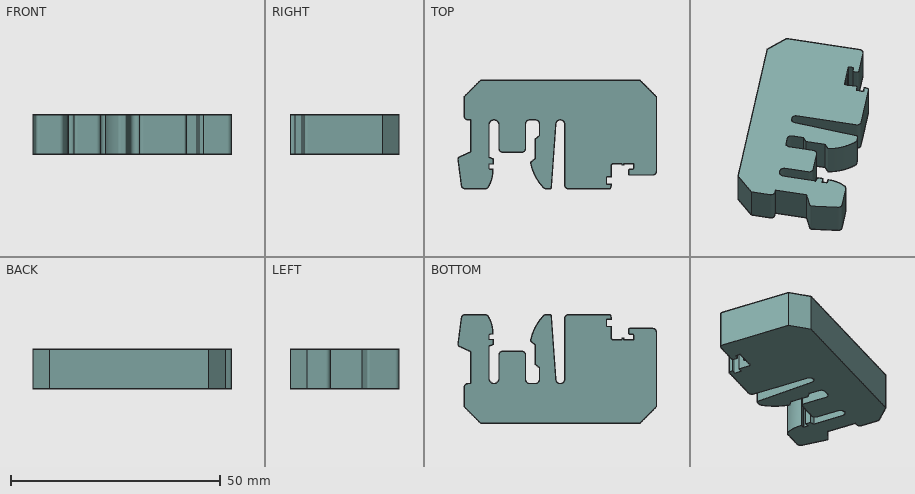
import cadquery as cq

length = 47.45
height = 26.0
thickness = 9.5
body_left = 1.45
top_chamfer = 4.0

slot_top = 16.45
right_foot_bottom = 3.27

leg_left = 3.05
leg_right = 7.45
shoulder_y = 8.88
heel = (-0.06, 7.45)
toe = (0.9, 0.0)
foot_curve_bottom = (7.0, 0.0)
foot_curve_middle = (7.95, 1.95)
foot_curve_top = (8.35, 4.7)
catch_bottom = 5.95
catch_tip_x = 8.5
catch_tip_top = 7.15
catch_root_top = 7.55
catch_slope_x = 7.7
catch_slope_y = 4.85

tongue_left = 9.8
tongue_right = 16.2
tongue_bottom = 8.75

arm_left = 19.45
arm_step_top = 12.7
arm_step_bottom = 11.9
arm_inner_x = 18.45
nose_root_y = 7.25
nose_tip = (17.3, 6.3)
nose_curve_middle = (18.6, 2.75)
nose_curve_bottom = (20.7, 0.0)
arm_toe = (22.3, 0.0)
arm_root = (23.5, slot_top)

block_left = 25.5
block_right = 36.65
block_toe_x = 36.45
block_toe_y = 0.7
notch_depth = 1.15
notch_bottom = 1.15
notch_top = 2.85
recess_top = 6.0
recess_right = 41.95
rib_left = 39.2
rib_right = 39.7
rib_bottom = 5.65
lip_left = 40.75
lip_top = 4.75

slot_flat = 0.01
slot_radius = (tongue_left - leg_right - slot_flat) / 2
corner_radius = 0.95
taper_slot_radius = 1.0
heel_radius = 0.7
edge_radius = 0.4
small_radius = 0.2

notch_left = block_right - notch_depth


def make_plate():
    """Extrude the sharp-cornered outline, running counterclockwise from the shoulder."""
    outline = (
        cq.Workplane("XY")
        .moveTo(leg_left, shoulder_y)
        .lineTo(*heel)
        .lineTo(*toe)
        .lineTo(*foot_curve_bottom)
        .threePointArc(foot_curve_middle, foot_curve_top)
        .lineTo(catch_slope_x, foot_curve_top[1])
        .lineTo(leg_right, catch_slope_y)
        .lineTo(leg_right, catch_bottom)
        .lineTo(catch_tip_x, catch_bottom)
        .lineTo(catch_tip_x, catch_tip_top)
        .lineTo(leg_right, catch_root_top)
        .lineTo(leg_right, slot_top)
        .lineTo(tongue_left, slot_top)
        .lineTo(tongue_left, tongue_bottom)
        .lineTo(tongue_right, tongue_bottom)
        .lineTo(tongue_right, slot_top)
        .lineTo(arm_left, slot_top)
        .lineTo(arm_left, arm_step_top)
        .lineTo(arm_inner_x, arm_step_bottom)
        .lineTo(arm_inner_x, nose_root_y)
        .lineTo(*nose_tip)
        .threePointArc(nose_curve_middle, nose_curve_bottom)
        .lineTo(*arm_toe)
        .lineTo(*arm_root)
        .lineTo(block_left, slot_top)
        .lineTo(block_left, 0)
        .lineTo(block_toe_x, 0)
        .lineTo(block_right, block_toe_y)
        .lineTo(block_right, notch_bottom)
        .lineTo(notch_left, notch_bottom)
        .lineTo(notch_left, notch_top)
        .lineTo(block_right, notch_top)
        .lineTo(block_right, recess_top)
        .lineTo(rib_left, recess_top)
        .lineTo(rib_left, rib_bottom)
        .lineTo(rib_right, rib_bottom)
        .lineTo(rib_right, recess_top)
        .lineTo(recess_right, recess_top)
        .lineTo(recess_right, lip_top)
        .lineTo(lip_left, lip_top)
        .lineTo(lip_left, right_foot_bottom)
        .lineTo(length, right_foot_bottom)
        .lineTo(length, height - top_chamfer)
        .lineTo(length - top_chamfer, height)
        .lineTo(body_left + top_chamfer, height)
        .lineTo(body_left, height - top_chamfer)
        .lineTo(body_left, slot_top)
        .lineTo(leg_left, slot_top)
        .close()
    )
    return outline.extrude(thickness)


def round_corners(plate, radius, corners):
    """Fillet the vertical edges standing on the given outline corners."""
    for x, y in corners:
        edge = cq.selectors.NearestToPointSelector((x, y, thickness / 2))
        plate = plate.edges("|Z").edges(edge).fillet(radius)
    return plate


rounded_corners = [
    (slot_radius, [(leg_right, slot_top), (tongue_left, slot_top)]),
    (
        corner_radius,
        [
            (tongue_left, tongue_bottom),
            (tongue_right, tongue_bottom),
            (arm_left, slot_top),
            (tongue_right, slot_top),
            (body_left, slot_top),
            toe,
            foot_curve_bottom,
            nose_curve_bottom,
            (block_left, 0),
            (length, right_foot_bottom),
        ],
    ),
    (taper_slot_radius, [arm_root, (block_left, slot_top)]),
    (heel_radius, [heel]),
    (
        edge_radius,
        [
            arm_toe,
            (block_toe_x, 0),
            (block_right, recess_top),
            (lip_left, lip_top),
            (lip_left, right_foot_bottom),
        ],
    ),
    (
        small_radius,
        [
            nose_tip,
            (notch_left, notch_bottom),
            (notch_left, notch_top),
            (recess_right, lip_top),
        ],
    ),
]

result = make_plate()
for radius, corners in rounded_corners:
    result = round_corners(result, radius, corners)